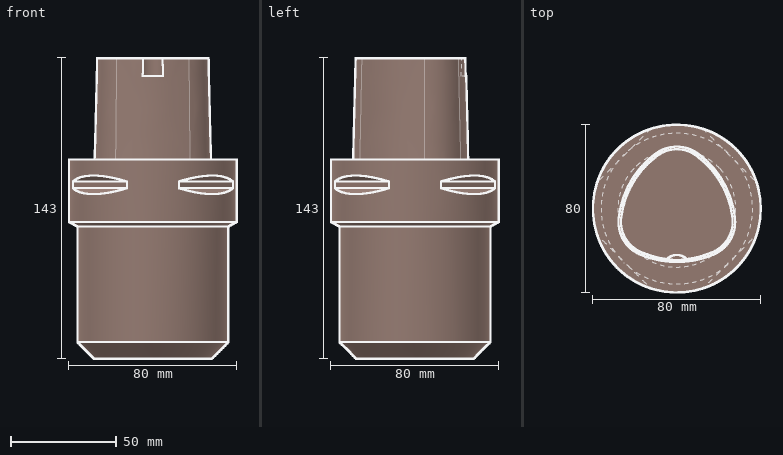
import cadquery as cq
import math

total_height = 143.0
shank_height = 48.0
flange_height = 32.0
flange_top = total_height - shank_height
flange_bottom = flange_top - flange_height

body_radius = 72.0 / 2
base_chamfer = 8.0
flange_radius = 80.0 / 2
flange_cone_height = 2.3

groove_centre_z = 82.8
groove_floor_distance = 35.6
groove_floor_width = 3.1
groove_wall_rise = 2.9
groove_angles = (45, 135, 225, 315)

lobe_reach = 29.5
lobe_radius = 16.9
flank_reach = 25.5
shank_taper_angle = math.degrees(math.atan(1 / 40))

notch_depth = 8.5
notch_radius = 6.5
notch_back_y = -22.0


def polar(radius, angle):
    """Point at a distance from the axis and an angle in degrees from +X."""
    return radius * math.cos(math.radians(angle)), radius * math.sin(math.radians(angle))


def make_turned_body():
    """Body, conical step and flange as one revolved profile in the XZ plane."""
    return (
        cq.Workplane("XZ")
        .lineTo(body_radius - base_chamfer, 0)
        .lineTo(body_radius, base_chamfer)
        .lineTo(body_radius, flange_bottom)
        .lineTo(flange_radius, flange_bottom + flange_cone_height)
        .lineTo(flange_radius, flange_top)
        .lineTo(0, flange_top)
        .close()
        .revolve(360, (0, 0, 0), (0, 1, 0))
    )


def make_shank():
    """Tapered shank bounded by three lobe arcs and three tangent flank arcs."""
    lobe_centre = lobe_reach - lobe_radius
    reach_gap = flank_reach - lobe_radius
    flank_centre = (lobe_centre**2 - reach_gap**2) / (2 * reach_gap - lobe_centre)
    flank_radius = flank_reach + flank_centre
    flank_x, flank_y = polar(flank_centre, -30)
    normal = math.atan2(lobe_centre - flank_y, -flank_x)
    tangent_x = flank_x + flank_radius * math.cos(normal)
    tangent_y = flank_y + flank_radius * math.sin(normal)
    tangent_distance = math.hypot(tangent_x, tangent_y)
    tangent_offset = math.degrees(math.atan2(-tangent_x, tangent_y))

    start = polar(tangent_distance, 90 - tangent_offset)
    outline = cq.Workplane("XY", origin=(0, 0, flange_top)).moveTo(*start)
    for lobe_angle in (90, 210, 330):
        lobe_end = polar(tangent_distance, lobe_angle + tangent_offset)
        flank_end = polar(tangent_distance, lobe_angle + 120 - tangent_offset)
        outline = outline.threePointArc(polar(lobe_reach, lobe_angle), lobe_end)
        outline = outline.threePointArc(polar(flank_reach, lobe_angle + 60), flank_end)
    return outline.close().extrude(shank_height, taper=shank_taper_angle)


def make_groove(angle):
    """Straight trapezoidal cutter whose floor is a chord of the flange."""
    wall_slope = groove_wall_rise / (flange_radius - groove_floor_distance)
    outer_distance = flange_radius + 1.5
    inner_half = groove_floor_width / 2
    outer_half = inner_half + wall_slope * (outer_distance - groove_floor_distance)
    return (
        cq.Workplane("XZ")
        .moveTo(groove_floor_distance, groove_centre_z - inner_half)
        .lineTo(outer_distance, groove_centre_z - outer_half)
        .lineTo(outer_distance, groove_centre_z + outer_half)
        .lineTo(groove_floor_distance, groove_centre_z + inner_half)
        .close()
        .extrude(flange_radius, both=True)
        .rotate((0, 0, 0), (0, 0, 1), angle)
    )


def make_notch():
    """Vertical cylinder that cuts the notch."""
    return (
        cq.Workplane("XY", origin=(0, notch_back_y - notch_radius, total_height - notch_depth))
        .circle(notch_radius)
        .extrude(notch_depth)
    )


result = make_turned_body().union(make_shank())
for groove_angle in groove_angles:
    result = result.cut(make_groove(groove_angle))
result = result.cut(make_notch())